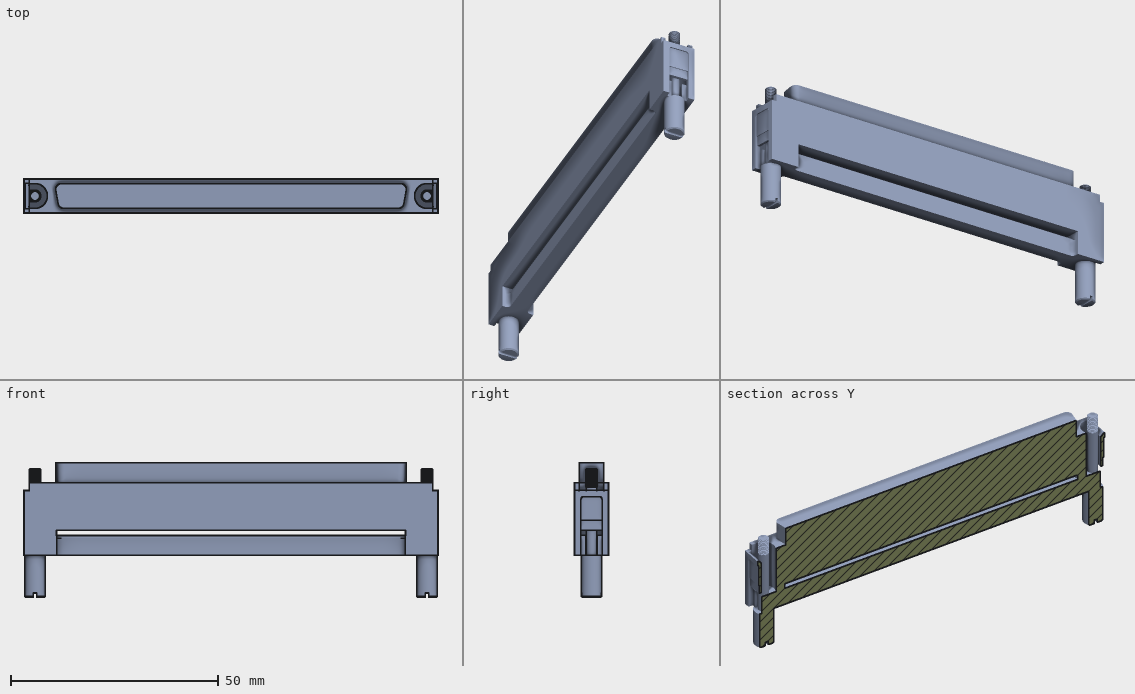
import cadquery as cq
import math

length = 99.96
depth = 8.25
total_height = 32.5
post_length = 10.1
body_height = 17.55
shell_top = total_height - post_length

plate_thickness = 1.25
plate_height = 15.7

shell_depth = 6.0
shell_long_side = 85.2
shell_flank_angle = 10.0
shell_corner_radius = 1.4

foot_width = 7.9
block_underside = 6.05
bar_height = 4.85
bar_edge_radius = 0.7
bar_recess = 1.85
bar_corner_radius = 1.0

screw_inset = 2.65
bore_diameter = 6.0
bore_floor = 4.85
lead_in_span = 6.2
lead_in_size = 0.9

recess_width = 5.1
recess_top = 14.2
recess_corner_radius = 0.7
panel_depth = 0.3
lower_panel_depth = 0.5
panel_step = 8.5
notch_top = 6.05

neck_diameter = 2.6
neck_slot_width = 2.75
thread_diameter = 2.75
thread_root_diameter = 2.3
thread_bottom = 16.5
thread_top = 20.9
thread_count = 11
post_diameter = 5.0
post_chamfer = 0.3
driver_slot_width = 0.75
driver_slot_depth = 1.0

half_length = length / 2
screw_x = -half_length + screw_inset
plate_inner_x = -half_length + plate_thickness


def box(x_min, x_max, width, z_min, z_max):
    """Block centred on Y between the given X and Z limits."""
    block = cq.Workplane("XY").box(x_max - x_min, width, z_max - z_min, centered=(False, True, False))
    return block.translate((x_min, 0, z_min))


def cylinder(diameter, z_min, z_max):
    """Vertical cylinder on the left screw axis."""
    disc = cq.Workplane("XY", origin=(screw_x, 0, z_min)).circle(diameter / 2)
    return disc.extrude(z_max - z_min)


def both_ends(left):
    """The left-end shape together with its mirror image at the right end."""
    return left.union(left.mirror("YZ"))


def make_body():
    """Full-length lower block with the taller, slightly shorter main block."""
    lower = box(-half_length, half_length, depth, 0, plate_height)
    return lower.union(box(plate_inner_x, -plate_inner_x, depth, 0, body_height))


def make_shell():
    """D-shaped shell standing on the body, wider at the +Y side."""
    flank_inset = shell_depth * math.tan(math.radians(shell_flank_angle))
    back_half = shell_long_side / 2
    front_half = back_half - flank_inset
    y = shell_depth / 2
    outline = [(-back_half, y), (back_half, y), (front_half, -y), (-front_half, -y)]
    prism = cq.Workplane("XY", origin=(0, 0, body_height)).polyline(outline).close()
    return prism.extrude(shell_top - body_height).edges("|Z").fillet(shell_corner_radius)


def make_crossbar_cut():
    """Space between the feet, less the round-edged bar that stays inside it."""
    inner_half = half_length - foot_width
    bar_half = depth / 2 - bar_recess
    opening = box(-inner_half, inner_half, depth, 0, block_underside)
    bar = box(-inner_half, inner_half, 2 * bar_half, 0, bar_height)
    bar = bar.edges("|X and >Z").fillet(bar_edge_radius)
    return opening.cut(bar).cut(make_bar_corners(inner_half, bar_half))


def make_bar_corners(inner_half, bar_half):
    """Concave corner fillets where the bar meets the feet."""
    corners = cq.Workplane("XY")
    bulge = bar_corner_radius * (1 - math.sqrt(0.5))
    for side_x in (-1, 1):
        for side_y in (-1, 1):
            x = side_x * inner_half
            y = side_y * bar_half
            x_tangent = x - side_x * bar_corner_radius
            y_tangent = y + side_y * bar_corner_radius
            corner = (
                cq.Workplane("XY")
                .moveTo(x, y)
                .lineTo(x_tangent, y)
                .threePointArc((x - side_x * bulge, y + side_y * bulge), (x, y_tangent))
                .close()
                .extrude(bar_height - bar_edge_radius)
            )
            corners = corners.union(corner)
    return corners


def make_bore():
    """Round screw bore, open to the end above the plate."""
    round_part = cylinder(bore_diameter, bore_floor, body_height)
    mouth = box(plate_inner_x, screw_x, bore_diameter, bore_floor, body_height)
    limit = box(plate_inner_x, 0, depth, bore_floor, body_height)
    return round_part.intersect(limit).union(mouth)


def make_lead_in():
    """Bevel on the inner top edge of the end plate, slightly wider than the bore."""
    triangle = [
        (plate_inner_x, plate_height),
        (plate_inner_x - lead_in_size, plate_height),
        (plate_inner_x, plate_height - lead_in_size),
    ]
    return cq.Workplane("XZ").polyline(triangle).close().extrude(lead_in_span / 2, both=True)


def make_end_recess():
    """Shallow rounded panel, stepped inward, above a notch open at the bottom."""
    outer_x = -half_length
    panel_x = outer_x + panel_depth
    lower_panel_x = outer_x + lower_panel_depth
    profile = [
        (outer_x, 0),
        (outer_x, recess_top),
        (panel_x, recess_top),
        (panel_x, panel_step),
        (lower_panel_x, panel_step),
        (lower_panel_x, notch_top),
        (plate_inner_x, notch_top),
        (plate_inner_x, 0),
    ]
    recess = cq.Workplane("XZ").polyline(profile).close().extrude(recess_width / 2, both=True)
    return recess.edges("|X and >Z").fillet(recess_corner_radius)


def make_neck_slot():
    """Slot through the bore floor that holds the screw neck."""
    slot = box(plate_inner_x, screw_x, neck_slot_width, 0, bore_floor)
    return slot.union(cylinder(neck_slot_width, 0, bore_floor))


def make_thread():
    """Screw thread as a stack of double-cone ridges."""
    pitch = (thread_top - thread_bottom) / thread_count
    root = thread_root_diameter / 2
    crest = thread_diameter / 2
    outline = cq.Workplane("XZ").moveTo(0, thread_bottom).lineTo(root, thread_bottom)
    for turn in range(thread_count):
        z = thread_bottom + turn * pitch
        outline = outline.lineTo(crest, z + pitch / 4).lineTo(crest, z + pitch / 2)
        outline = outline.lineTo(root, z + pitch * 3 / 4).lineTo(root, z + pitch)
    ridges = outline.lineTo(0, thread_top).close().revolve(360, (0, 0, 0), (0, 1, 0))
    return ridges.translate((screw_x, 0, 0))


def make_jackscrew():
    """Slotted post under the foot, neck through the bore and threaded tip."""
    post = cylinder(post_diameter, -post_length, 0).faces("<Z").chamfer(post_chamfer)
    slot = box(
        screw_x - driver_slot_width / 2,
        screw_x + driver_slot_width / 2,
        post_diameter,
        -post_length,
        -post_length + driver_slot_depth,
    )
    neck = cylinder(neck_diameter, 0, thread_bottom)
    return post.cut(slot).union(neck).union(make_thread())


body = make_body().cut(make_crossbar_cut())
for end_cut in (make_bore(), make_lead_in(), make_end_recess(), make_neck_slot()):
    body = body.cut(both_ends(end_cut))

result = body.union(make_shell()).union(both_ends(make_jackscrew()))